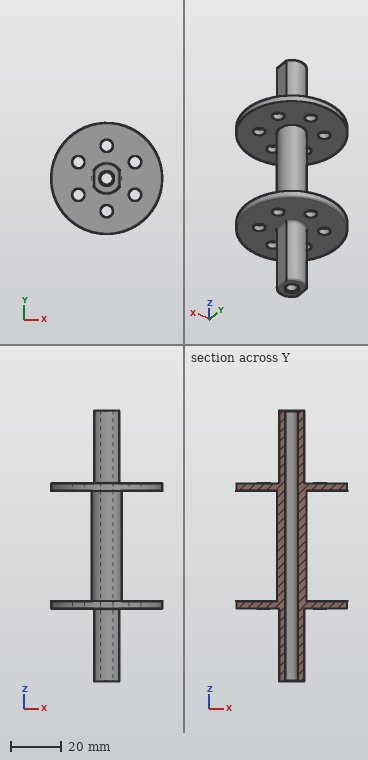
import cadquery as cq

length = 108.0
shaft_diameter = 12.0
flat_width = 10.0
flange_diameter = 44.4
flange_thickness = 3.0
flange_gap = 44.0
edge_round = 0.5

bore_diameter = 5.0
bore_countersink = 0.5
flange_hole_diameter = 4.9
flange_hole_circle_diameter = 26.0
flange_hole_count = 6
first_hole_angle = 30

shaft_end = length / 2
flange_inner = flange_gap / 2
flange_outer = flange_inner + flange_thickness


def make_flange():
    """Upper flange with its outer-face rim rounded and a ring of holes."""
    flange = (
        cq.Workplane("XY")
        .workplane(offset=flange_inner)
        .circle(flange_diameter / 2)
        .extrude(flange_thickness)
        .faces(">Z")
        .fillet(edge_round)
    )
    holes = (
        cq.Workplane("XY")
        .workplane(offset=flange_inner)
        .polarArray(flange_hole_circle_diameter / 2, first_hole_angle, 360, flange_hole_count)
        .circle(flange_hole_diameter / 2)
        .extrude(flange_thickness)
    )
    return flange.cut(holes)


def make_end_shaft():
    """Upper shaft end with two flats facing along X and a rounded tip."""
    end_length = shaft_end - flange_outer
    base = cq.Workplane("XY").workplane(offset=flange_outer)
    round_end = base.circle(shaft_diameter / 2).extrude(end_length)
    flats = base.rect(flat_width, shaft_diameter).extrude(end_length)
    return round_end.intersect(flats).faces(">Z").fillet(edge_round)


def make_upper_half():
    """Half of the round core, one flange and one shaft end, filleted where they meet."""
    core = cq.Workplane("XY").circle(shaft_diameter / 2).extrude(flange_outer)
    half = core.union(make_flange()).union(make_end_shaft())
    root_zone = cq.selectors.BoxSelector(
        (-shaft_diameter, -shaft_diameter, flange_outer - edge_round / 2),
        (shaft_diameter, shaft_diameter, flange_outer + edge_round / 2),
    )
    root_edges = [
        edge
        for edge in half.edges(root_zone).vals()
        if max(abs(edge.Center().x), abs(edge.Center().y)) <= shaft_diameter / 2
    ]
    return half.newObject(root_edges).fillet(edge_round)


def make_bore():
    """Through bore, countersunk at both ends."""
    bore_radius = bore_diameter / 2
    mouth_radius = bore_radius + bore_countersink
    return (
        cq.Workplane("XZ")
        .moveTo(0, -shaft_end)
        .lineTo(mouth_radius, -shaft_end)
        .lineTo(bore_radius, -shaft_end + bore_countersink)
        .lineTo(bore_radius, shaft_end - bore_countersink)
        .lineTo(mouth_radius, shaft_end)
        .lineTo(0, shaft_end)
        .close()
        .revolve(360, (0, 0, 0), (0, 1, 0))
    )


upper_half = make_upper_half()
lower_half = upper_half.mirror("XY")
result = upper_half.union(lower_half).cut(make_bore())